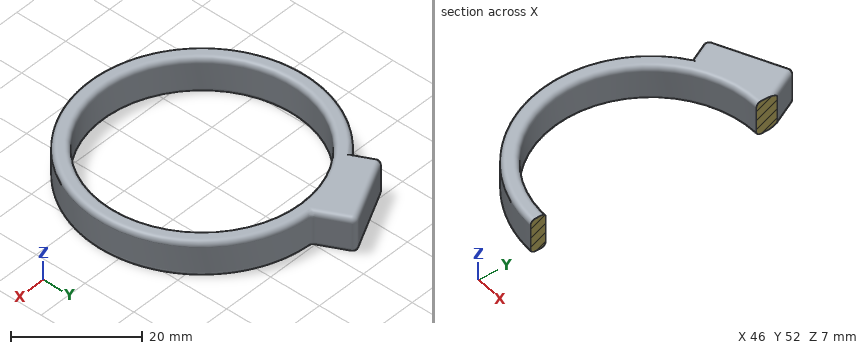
import cadquery as cq

bore_diameter = 40.0
wall_thickness = 3.0
height = 7.0
edge_radius = 1.0
outer_radius = bore_diameter / 2 + wall_thickness

lug_angle = 27.0
lug_width = 15.0
lug_offset = 3.45
lug_reach = 27.36
lug_root_radius = 1.0


def in_lug_frame(shape):
    """Turn a shape drawn with the lug pointing along +Y to the lug's true direction."""
    return shape.rotate((0, 0, 0), (0, 0, 1), lug_angle)


def make_blank():
    """Ring disc and lug with the bore through both, all edges sharp except the lug's outer corners."""
    disc = cq.Workplane("XY").circle(outer_radius).extrude(height)
    lug = (
        cq.Workplane("XY")
        .center(lug_offset, lug_reach / 2)
        .rect(lug_width, lug_reach)
        .extrude(height)
        .edges("|Z and >Y")
        .fillet(edge_radius)
    )
    bore = cq.Workplane("XY").circle(bore_diameter / 2).extrude(height)
    return disc.union(lug).cut(bore)


def round_rims(body):
    """Round every edge of the top and bottom faces."""
    return body.faces("<Z or >Z").edges().fillet(edge_radius)


def round_lug_root(body):
    """Blend the upright corner where the lug's far side meets the ring."""
    root_x = lug_offset + lug_width / 2
    root_y = (outer_radius**2 - root_x**2) ** 0.5
    root_edge = cq.selectors.NearestToPointSelector((root_x, root_y, height / 2))
    return body.edges("|Z").edges(root_edge).fillet(lug_root_radius)


ring = in_lug_frame(round_lug_root(round_rims(make_blank())))

result = cq.Compound.makeCompound([ring.val()])